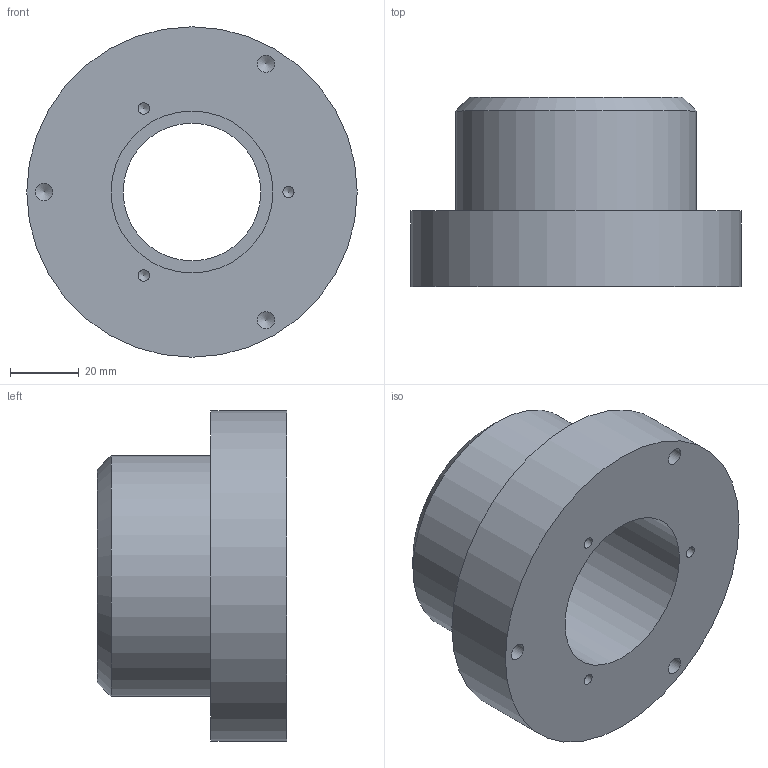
import cadquery as cq
import math

flange_diameter = 96.0
flange_thickness = 22.0
hub_diameter = 70.0
total_length = 55.0
hub_chamfer = 4.0

bore_diameter = 47.0
lip_diameter = 40.0
lip_thickness = 5.0
bore_depth = total_length - lip_thickness

holes_per_circle = 3
drill_point_angle = 118.0
inner_hole_diameter = 3.3
inner_hole_depth = 10.0
inner_circle_radius = 28.0
inner_start_angle = 0.0
outer_hole_diameter = 5.0
outer_hole_depth = 15.0
outer_circle_radius = 43.0
outer_start_angle = 180.0


def cylinder_along_y(diameter, start, length):
    """Solid cylinder on the Y axis from Y = start, running towards +Y."""
    plane = cq.Workplane("XZ", origin=(0, start, 0))
    return plane.circle(diameter / 2).extrude(-length)


def make_body():
    flange = cylinder_along_y(flange_diameter, 0, flange_thickness)
    hub = cylinder_along_y(hub_diameter, 0, total_length).faces(">Y").chamfer(hub_chamfer)
    return flange.union(hub)


def make_bore():
    wide = cylinder_along_y(bore_diameter, 0, bore_depth)
    narrow = cylinder_along_y(lip_diameter, 0, total_length)
    return wide.union(narrow)


def make_drilled_hole(diameter, depth, x, z):
    """Drill shape entering the flange face: a straight wall ending in a cone."""
    radius = diameter / 2
    point_length = radius / math.tan(math.radians(drill_point_angle / 2))
    half_section = [(0, 0), (radius, 0), (radius, depth), (0, depth + point_length)]
    drill = cq.Workplane("XY").polyline(half_section).close().revolve(360, (0, 0, 0), (0, 1, 0))
    return drill.translate((x, 0, z))


def drill_circle(body, diameter, depth, circle_radius, start_angle):
    for index in range(holes_per_circle):
        angle = math.radians(start_angle + index * 360 / holes_per_circle)
        x = circle_radius * math.cos(angle)
        z = circle_radius * math.sin(angle)
        body = body.cut(make_drilled_hole(diameter, depth, x, z))
    return body


result = make_body().cut(make_bore())
result = drill_circle(result, inner_hole_diameter, inner_hole_depth, inner_circle_radius, inner_start_angle)
result = drill_circle(result, outer_hole_diameter, outer_hole_depth, outer_circle_radius, outer_start_angle)